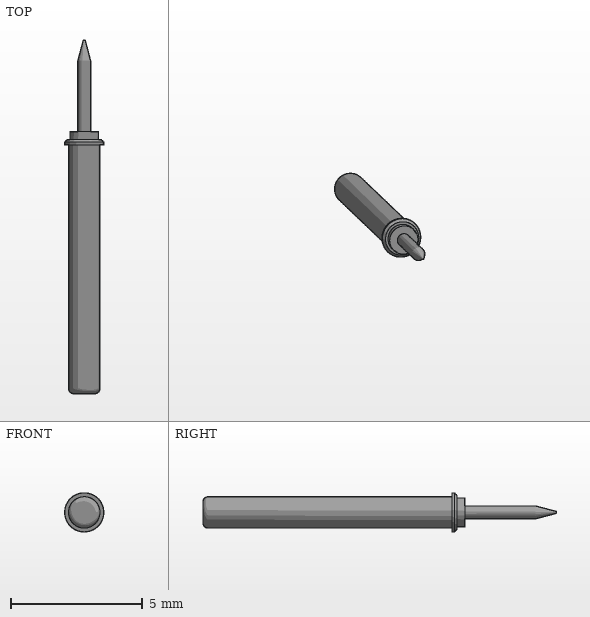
import cadquery as cq
import math


sleeve_radius = 0.6
sleeve_length = 10.0
rear_fillet = 0.2
neck_radius = 0.55
neck_length = 0.3
flange_radius = 0.75
flange_width = 0.2
flange_chamfer = 0.1

overall_length = 13.5
pin_radius = 0.25
point_length = 0.8
tip_radius = 0.05

flange_front = sleeve_length - neck_length
flange_back = flange_front - flange_width


def cylinder(radius, start, end):
    """Solid cylinder on the Y axis between two Y positions."""
    ends_plane = cq.Plane(origin=(0, start, 0), xDir=(1, 0, 0), normal=(0, 1, 0))
    return cq.Workplane(ends_plane).circle(radius).extrude(end - start)


def make_sleeve():
    """Long barrel with a rounded rear end, a chamfered flange and a short neck."""
    barrel = cylinder(sleeve_radius, 0, flange_back).faces("<Y").edges().fillet(rear_fillet)
    flange = cylinder(flange_radius, flange_back, flange_front).faces(">Y").edges().chamfer(flange_chamfer)
    neck = cylinder(neck_radius, flange_front, sleeve_length)
    return barrel.union(flange).union(neck)


def make_pin():
    """Slim contact pin standing on the neck face, tapering to a small rounded tip."""
    shoulder = overall_length - point_length
    shank = cylinder(pin_radius, sleeve_length, shoulder)

    tip_centre = overall_length - tip_radius
    taper_height = tip_centre - shoulder
    to_tip_centre = math.hypot(pin_radius, taper_height)
    taper_angle = math.acos(tip_radius / to_tip_centre) - math.atan2(taper_height, pin_radius)
    tangent_radius = tip_radius * math.cos(taper_angle)
    tangent_height = tip_centre + tip_radius * math.sin(taper_angle)
    point = (
        cq.Workplane("XY")
        .moveTo(0, shoulder)
        .lineTo(pin_radius, shoulder)
        .lineTo(tangent_radius, tangent_height)
        .radiusArc((0, overall_length), -tip_radius)
        .close()
        .revolve(360, (0, 0, 0), (0, 1, 0))
    )
    return shank.union(point)


sleeve = make_sleeve()
pin = make_pin()

result = cq.Compound.makeCompound([sleeve.val(), pin.val()])